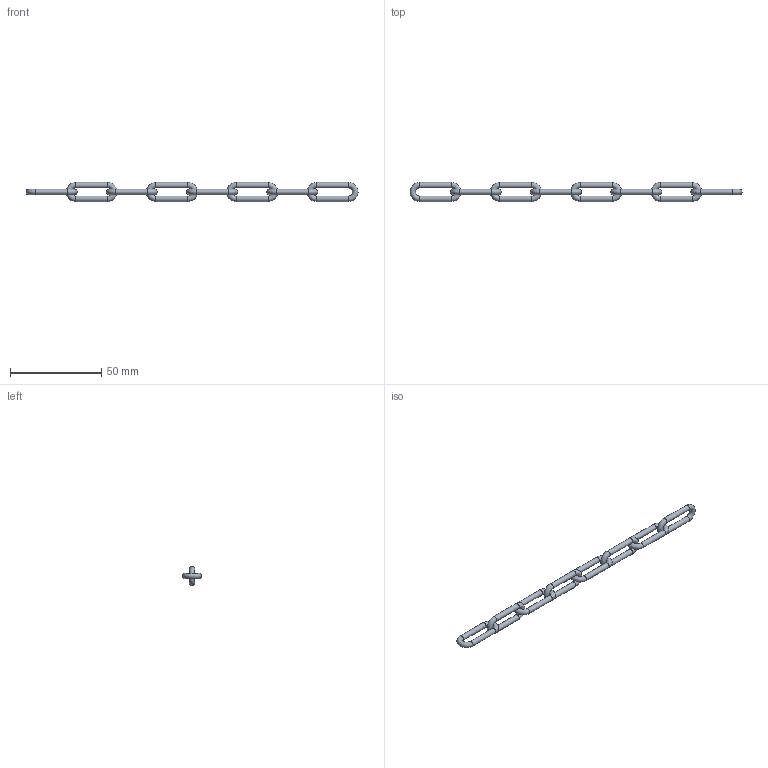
import cadquery as cq

LINK_COUNT = 8
WIRE_DIAMETER = 3.0
LINK_LENGTH = 28.0
LINK_WIDTH = 10.5

BEND_RADIUS = (LINK_WIDTH - WIRE_DIAMETER) / 2
STRAIGHT_LENGTH = LINK_LENGTH - LINK_WIDTH
HALF_STRAIGHT = STRAIGHT_LENGTH / 2

LINK_PITCH = LINK_LENGTH - 2 * WIRE_DIAMETER
FIRST_LINK_X = -LINK_PITCH * (LINK_COUNT - 1) / 2
QUARTER_TURN = 90


def make_link():
    """One closed oval link lying flat in the XY plane, centred on the origin."""
    centreline = (
        cq.Workplane("XY")
        .moveTo(-HALF_STRAIGHT, BEND_RADIUS)
        .lineTo(HALF_STRAIGHT, BEND_RADIUS)
        .threePointArc((HALF_STRAIGHT + BEND_RADIUS, 0), (HALF_STRAIGHT, -BEND_RADIUS))
        .lineTo(-HALF_STRAIGHT, -BEND_RADIUS)
        .threePointArc((-HALF_STRAIGHT - BEND_RADIUS, 0), (-HALF_STRAIGHT, BEND_RADIUS))
        .close()
    )
    return (
        cq.Workplane("YZ", origin=(-HALF_STRAIGHT, BEND_RADIUS, 0))
        .circle(WIRE_DIAMETER / 2)
        .sweep(centreline)
    )


def place_link(index):
    """A link at its place along X; every second link stands upright in the XZ plane."""
    roll = QUARTER_TURN * (index % 2)
    link_x = FIRST_LINK_X + index * LINK_PITCH
    return make_link().rotate((0, 0, 0), (1, 0, 0), roll).translate((link_x, 0, 0))


links = [place_link(index) for index in range(LINK_COUNT)]

result = cq.Compound.makeCompound([link.val() for link in links])